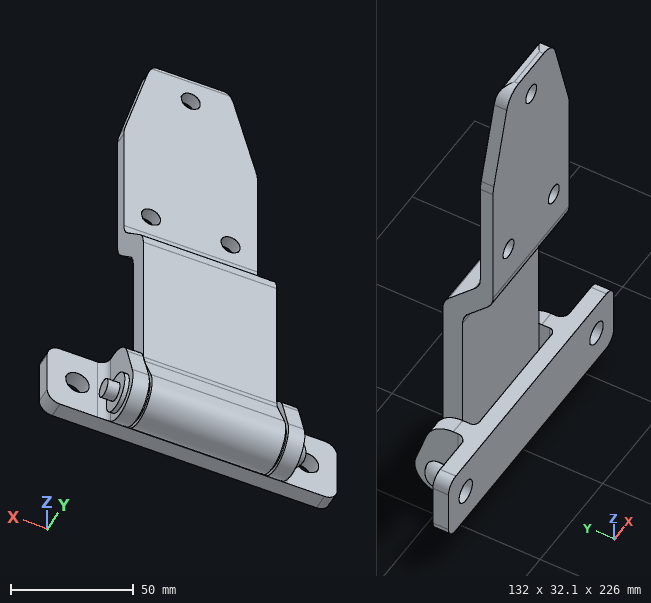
import cadquery as cq
import math


knuckle_radius = 12.0
pin_y = 20.1
pin_radius = 4.0

plate_length = 132.0
plate_thickness = 7.5
plate_height = 32.0
plate_top = 28.0
plate_bottom = plate_top - plate_height
plate_corner_radius = 5.9
plate_hole_spacing = 104.5
plate_hole_diameter = 10.6
lug_inner_x = 31.6
lug_thickness = 7.5
lug_outer_x = lug_inner_x + lug_thickness
lug_taper_angle = math.radians(18)
lug_top_radius = 13.5
lug_outer_root_radius = 4.0
lug_inner_root_radius = 2.7

strap_width = 60.8
strap_top = 226 - knuckle_radius
upper_thickness = 6.0
lower_front_y = 14.5
lower_thickness = 9.5
lower_back_y = lower_front_y + lower_thickness
step_front_top = 102.2
step_back_top = 109.8
step_front_bottom = step_front_top - lower_front_y
step_back_bottom = step_back_top - (lower_back_y - upper_thickness)
bend_radius = 9.5
barrel_taper_angle = math.radians(25)
tip_width = 34.8
tip_height = 45.0
tip_corner_radius = 10.0
tip_shoulder_radius = 15.0
tip_back_radius = 4.0
barrel_blend_radius = 6.8
strap_hole_diameter = 8.5
strap_hole_spacing = 36.2
tip_hole_z = strap_top - 15.0
lower_hole_z = strap_top - 90.0

head_radius = 6.5
head_height = 5.6
pin_end_x = 46.5
spacer_radius = 10.0
spacer_thickness = lug_inner_x - strap_width / 2
end_washer_radius = 8.5
end_washer_thickness = 2.0

pick_margin = 1.1


def knuckle_point(angle):
    """Point (y, z) on the knuckle circle, with the angle measured from +Y toward +Z."""
    return (pin_y + knuckle_radius * math.cos(angle), knuckle_radius * math.sin(angle))


def disc(radius, start_x, end_x):
    """Cylinder on the pin axis between two X positions."""
    return (
        cq.Workplane("YZ", origin=(start_x, pin_y, 0))
        .circle(radius)
        .extrude(end_x - start_x)
    )


def side_prism(outline, width):
    """Extrude a YZ outline symmetrically along X."""
    return outline.extrude(width / 2, both=True)


def lug_silhouette():
    """Side shape of a lug: rounded knuckle, tapered back and rounded top corner."""
    offset_y = pin_y - plate_thickness
    distance = math.hypot(offset_y, plate_bottom)
    toward_edge = math.pi + math.atan2(-plate_bottom, offset_y)
    lower_angle = toward_edge + math.acos(knuckle_radius / distance)
    top_corner_y = (
        pin_y + (knuckle_radius - plate_top * math.sin(lug_taper_angle)) / math.cos(lug_taper_angle)
    )
    outline = (
        cq.Workplane("YZ")
        .moveTo(0, plate_bottom)
        .lineTo(plate_thickness, plate_bottom)
        .lineTo(*knuckle_point(lower_angle))
        .threePointArc(knuckle_point(-math.pi / 4), knuckle_point(lug_taper_angle))
        .lineTo(top_corner_y, plate_top)
        .lineTo(0, plate_top)
        .close()
    )
    return side_prism(outline, plate_length).faces(">Z").edges(">Y").fillet(lug_top_radius)


def make_bracket():
    """Mounting plate with two lugs that carry the pin."""
    plan_height = plate_top + knuckle_radius
    plan_middle_z = plan_height / 2 - knuckle_radius
    lug_depth = pin_y + knuckle_radius
    plan = (
        cq.Workplane("XY", origin=(0, 0, -knuckle_radius))
        .box(plate_length, plate_thickness, plan_height, centered=(True, False, False))
    )
    for side in (-1, 1):
        lug = (
            cq.Workplane("XY", origin=(side * (lug_inner_x + lug_thickness / 2), 0, -knuckle_radius))
            .box(lug_thickness, lug_depth, plan_height, centered=(True, False, False))
        )
        plan = plan.union(lug)
    for root_x, root_radius in ((lug_outer_x, lug_outer_root_radius), (lug_inner_x, lug_inner_root_radius)):
        for side in (-1, 1):
            root_edge = cq.selectors.NearestToPointSelector((side * root_x, plate_thickness, plan_middle_z))
            plan = plan.edges("|Z").edges(root_edge).fillet(root_radius)

    bracket = plan.intersect(lug_silhouette())
    bracket = bracket.faces("<X or >X").edges("|Y").fillet(plate_corner_radius)

    plate_holes = (
        cq.Workplane("XZ", origin=(0, 0, (plate_top + plate_bottom) / 2))
        .pushPoints([(-plate_hole_spacing / 2, 0), (plate_hole_spacing / 2, 0)])
        .circle(plate_hole_diameter / 2)
        .extrude(-plate_thickness)
    )
    pin_bore = disc(pin_radius, -lug_outer_x, lug_outer_x)
    return bracket.cut(plate_holes).cut(pin_bore)


def strap_section():
    """Joggled strap extruded across its width, from a rounded top edge to a barrel around the pin."""
    front_z = math.sqrt(knuckle_radius ** 2 - (pin_y - lower_front_y) ** 2)
    back_z = (
        knuckle_radius - (lower_back_y - pin_y) * math.cos(barrel_taper_angle)
    ) / math.sin(barrel_taper_angle)
    outline = (
        cq.Workplane("YZ")
        .moveTo(0, strap_top)
        .lineTo(0, step_front_top)
        .lineTo(lower_front_y, step_front_bottom)
        .lineTo(lower_front_y, front_z)
        .threePointArc(knuckle_point(-math.pi / 2), knuckle_point(barrel_taper_angle))
        .lineTo(lower_back_y, back_z)
        .lineTo(lower_back_y, step_back_bottom)
        .lineTo(upper_thickness, step_back_top)
        .lineTo(upper_thickness, strap_top)
        .close()
    )
    bend_edges = cq.selectors.BoxSelector(
        (-strap_width, -pick_margin, step_front_bottom - pick_margin),
        (strap_width, lower_back_y + pick_margin, step_back_top + pick_margin),
    )
    blend_edge = cq.selectors.BoxSelector(
        (-strap_width, lower_back_y - pick_margin, back_z - pick_margin),
        (strap_width, lower_back_y + pick_margin, back_z + pick_margin),
    )
    section = side_prism(outline, strap_width)
    section = section.edges("|X").edges(bend_edges).fillet(bend_radius)
    section = section.edges("|X").edges(blend_edge).fillet(barrel_blend_radius)
    return section.faces(">Z").edges(">Y").fillet(tip_back_radius)


def strap_front_shape():
    """Front outline of the strap: straight sides that taper to a rounded tip."""
    shoulder_z = strap_top - tip_height
    front = (
        cq.Workplane("XZ")
        .polyline([
            (-strap_width / 2, -knuckle_radius),
            (strap_width / 2, -knuckle_radius),
            (strap_width / 2, shoulder_z),
            (tip_width / 2, strap_top),
            (-tip_width / 2, strap_top),
            (-strap_width / 2, shoulder_z),
        ])
        .close()
        .extrude(-(pin_y + knuckle_radius))
    )
    front = front.faces(">Z").edges("|Y").fillet(tip_corner_radius)
    shoulders = cq.selectors.BoxSelector(
        (-strap_width, -strap_width, shoulder_z - pick_margin),
        (strap_width, strap_width, shoulder_z + pick_margin),
    )
    return front.edges("|Y").edges(shoulders).fillet(tip_shoulder_radius)


def make_strap():
    """Joggled strap with three fixing holes and a bore for the pin."""
    fixing_holes = (
        cq.Workplane("XZ")
        .pushPoints([
            (0, tip_hole_z),
            (-strap_hole_spacing / 2, lower_hole_z),
            (strap_hole_spacing / 2, lower_hole_z),
        ])
        .circle(strap_hole_diameter / 2)
        .extrude(-upper_thickness)
    )
    pin_bore = disc(pin_radius, -strap_width / 2, strap_width / 2)
    return strap_section().intersect(strap_front_shape()).cut(fixing_holes).cut(pin_bore)


def make_pin():
    """Pin with a domed head against the outside of the left lug."""
    dome_radius = (head_radius ** 2 + head_height ** 2) / (2 * head_height)
    dome_center_x = -lug_outer_x - head_height + dome_radius
    dome = cq.Workplane("XY").sphere(dome_radius).translate((dome_center_x, pin_y, 0))
    head = disc(dome_radius, -lug_outer_x - head_height, -lug_outer_x).intersect(dome)
    return head.union(disc(pin_radius, -lug_outer_x, pin_end_x))


def make_washer(radius, start_x, thickness):
    """Flat washer around the pin."""
    end_x = start_x + thickness
    return disc(radius, start_x, end_x).cut(disc(pin_radius, start_x, end_x))


bracket = make_bracket()
strap = make_strap()
pin = make_pin()
spacers = [
    make_washer(spacer_radius, start_x, spacer_thickness)
    for start_x in (-lug_inner_x, strap_width / 2)
]
end_washer = make_washer(end_washer_radius, lug_outer_x, end_washer_thickness)

result = cq.Compound.makeCompound([
    bracket.val(),
    strap.val(),
    pin.val(),
    *[spacer.val() for spacer in spacers],
    end_washer.val(),
])